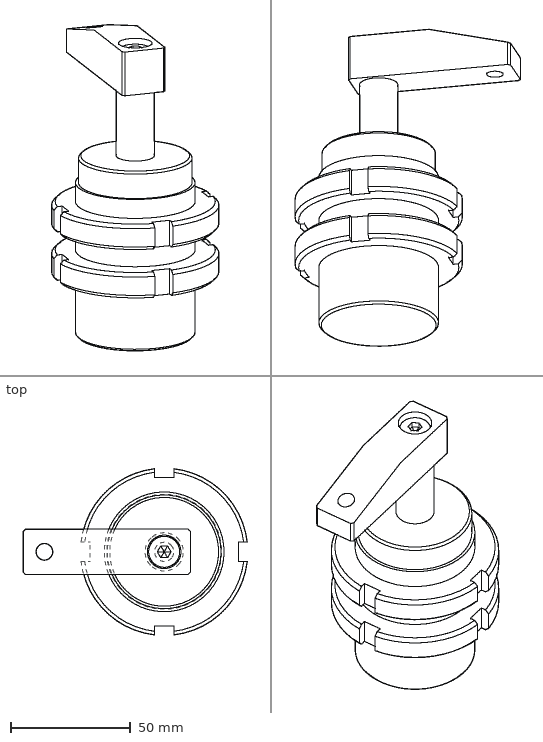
import cadquery as cq
import math


housing_diameter = 50.0
neck_diameter = 47.5
shoulder_height = 66.3
housing_height = 78.0
housing_chamfer = 1.0

nut_diameter = 70.0
nut_thickness = 11.0
nut_chamfer = 1.5
nut_base_heights = (25.9, 47.0)
nut_slot_count = 4
nut_slot_width = 8.0
nut_slot_depth = 4.0

total_height = 127.0
arm_height = 19.0
arm_width = 19.0
arm_tip_height = 9.8
arm_reach = 58.9
arm_length = 69.8
arm_corner_chamfer = 1.0
tip_hole_diameter = 6.9
tip_hole_reach = 50.0

rod_diameter = 16.0

screw_recess = 2.0
head_diameter = 13.0
head_height = 8.0
head_rounding = 1.3
head_bore_diameter = 14.0
shank_diameter = 8.0
shank_length = 20.0
socket_width = 5.0
socket_depth = 2.4
socket_point_depth = 1.7

nut_radius = nut_diameter / 2
arm_base = total_height - arm_height
arm_heel = arm_length - arm_reach
arm_bend = arm_heel - arm_length / 2
head_top = total_height - screw_recess
head_seat = head_top - head_height
shank_end = head_seat - shank_length
socket_corner_diameter = socket_width / math.cos(math.pi / 6)


def cylinder(diameter, bottom, top):
    return cq.Workplane("XY").workplane(offset=bottom).circle(diameter / 2).extrude(top - bottom)


def make_housing():
    barrel = cylinder(housing_diameter, 0, shoulder_height).faces("<Z").chamfer(housing_chamfer)
    neck = cylinder(neck_diameter, shoulder_height, housing_height).faces(">Z").chamfer(housing_chamfer)
    return barrel.union(neck)


def make_nut(base):
    top = base + nut_thickness
    nut = cylinder(nut_diameter, base, top).faces("<Z or >Z").chamfer(nut_chamfer)
    nut = nut.cut(cylinder(housing_diameter, base, top))
    slots = (
        cq.Workplane("XY")
        .workplane(offset=base)
        .polarArray(nut_radius, 0, 360, nut_slot_count)
        .rect(2 * nut_slot_depth, nut_slot_width)
        .extrude(nut_thickness)
    )
    return nut.cut(slots)


def make_rod():
    rod = cylinder(rod_diameter, housing_height, arm_base)
    return rod.cut(cylinder(shank_diameter, shank_end, arm_base))


def make_arm():
    side_outline = [
        (-arm_reach, arm_base),
        (arm_heel, arm_base),
        (arm_heel, total_height),
        (arm_bend, total_height),
        (-arm_reach, arm_base + arm_tip_height),
    ]
    arm = cq.Workplane("XZ").polyline(side_outline).close().extrude(arm_width / 2, both=True)
    arm = arm.edges("|Z").chamfer(arm_corner_chamfer)
    tip_hole = cylinder(tip_hole_diameter, arm_base, total_height).translate((-tip_hole_reach, 0, 0))
    head_bore = cylinder(head_bore_diameter, head_seat, total_height)
    shank_hole = cylinder(shank_diameter, arm_base, head_seat)
    return arm.cut(tip_hole).cut(head_bore).cut(shank_hole)


def make_socket():
    """A hexagonal recess whose floor narrows to a six-sided point on the axis."""
    floor = head_top - socket_depth
    recess = cq.Workplane("XY").workplane(offset=floor).polygon(6, socket_corner_diameter).extrude(socket_depth)
    floor_face = recess.faces("<Z").val()
    tip = cq.Vector(0, 0, floor - socket_point_depth)
    facets = [
        cq.Face.makeFromWires(cq.Wire.makePolygon([edge.startPoint(), edge.endPoint(), tip], close=True))
        for edge in floor_face.Edges()
    ]
    point = cq.Solid.makeSolid(cq.Shell.makeShell([floor_face, *facets]))
    return recess.union(cq.Workplane(point))


def make_screw():
    head = cylinder(head_diameter, head_seat, head_top).faces(">Z").fillet(head_rounding)
    shank = cylinder(shank_diameter, shank_end, head_seat)
    return head.union(shank).cut(make_socket())


housing = make_housing()
nuts = [make_nut(base) for base in nut_base_heights]
rod = make_rod()
arm = make_arm()
screw = make_screw()

result = cq.Compound.makeCompound(
    [housing.val(), *[nut.val() for nut in nuts], rod.val(), arm.val(), screw.val()]
)